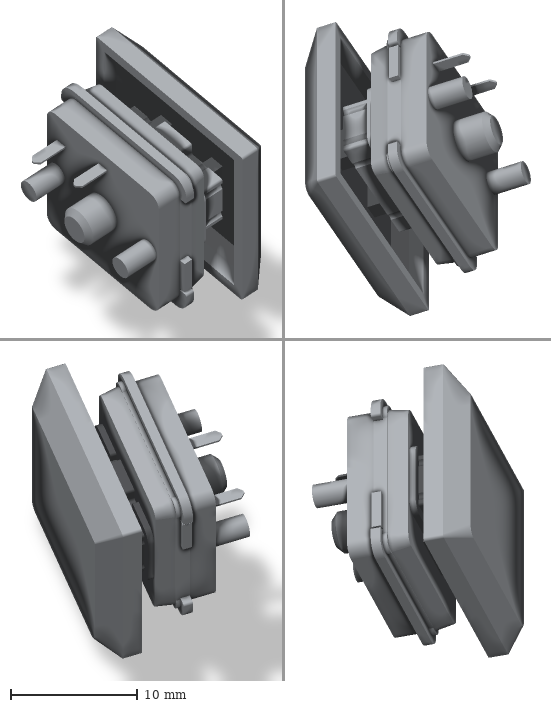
import cadquery as cq
import math


base_width = 13.43
base_corner_radius = 1.05
flange_front_y = 2.22
flange_back_y = 3.01
seam_y = 3.4
band_width = base_width + 0.07
flange_width = 15.01
flange_high_corner_radius = 1.5
flange_low_corner_radius = 1.3
flange_leg_end_z = 5.33
leg_end_radius = 0.2
nub_reach_x = 7.29
nub_low_z = 1.85
nub_high_z = 5.12

peg_length = 3.0
centre_peg_diameter = 3.4
centre_peg_chamfer = 0.5
side_peg_diameter = 1.9
side_peg_x = 5.5
pin_width = 1.0
pin_thickness = 0.2
pin_tip_chamfer = 0.39
pin_places = [(0.0, 5.1), (-5.0, 3.78)]

cover_top_y = 5.0
cover_draft_angle = 10.0
cover_leg_radius = 0.9
cover_leg_place = flange_width / 2 - flange_high_corner_radius
rim_top_y = 5.5
rim_width = 12.21
rim_height = 6.4
rim_corner_radius = 1.0
rim_gap_width = 4.93
rim_gap_radius = 0.21
rim_tail_low_z = -4.01

stem_width = 10.67
stem_height = 4.79
stem_top_y = 7.94
stem_edge_radius = 0.2
bulge_width = 3.35
bulge_top_z = 3.57
groove_width = 0.65
groove_depth = 0.15
top_groove_x = 3.3
side_groove_z = 1.6

keycap_width = 17.6
keycap_height = 16.6
keycap_bottom_y = 7.0
keycap_slope_y = 8.62
keycap_top_y = 10.4
keycap_corner_radius = 0.23
keycap_top_low_radius = 0.81
keycap_top_high_radius = 0.12
keycap_side_inset = 1.62
keycap_high_inset = 2.24
keycap_low_inset = 1.05
keycap_wall = 1.0
cavity_slope_y = 8.27
cavity_floor_y = 9.4
prong_x = 3.03
prong_width = 1.34
prong_height = 3.06


def plane_at(y):
    """Workplane across the key's axis, with X to the right and Z up."""
    return cq.Workplane("XZ", origin=(0, y, 0))


def slab(width, height, y_start, y_end):
    """Rectangular block between two places on the key's axis."""
    return plane_at(y_start).rect(width, height).extrude(y_start - y_end)


def block(x_range, y_range, z_range):
    """Box between opposite corners."""
    size = [high - low for low, high in (x_range, y_range, z_range)]
    start = (x_range[0], y_range[0], z_range[0])
    return cq.Workplane("XY").box(*size, centered=False).translate(start)


def cylinders(places, radius, y_start, y_end):
    """Cylinders along the key's axis, one at each (x, z) place."""
    return plane_at(y_start).pushPoints(places).circle(radius).extrude(y_start - y_end)


def cover_legs():
    """Four round legs in the corners, reaching through the flange."""
    place = cover_leg_place
    corners = [(-place, -place), (place, -place), (place, place), (-place, place)]
    return cylinders(corners, cover_leg_radius, flange_front_y, seam_y)


def flange():
    """Plate stop: a rounded frame along the top and bottom that turns the corners."""
    plate = slab(flange_width, flange_width, flange_front_y, flange_back_y)
    plate = plate.edges("|Y and >Z").fillet(flange_high_corner_radius)
    plate = plate.edges("|Y and <Z").fillet(flange_low_corner_radius)
    side_gap = slab(flange_width, 2 * flange_leg_end_z, flange_front_y, flange_back_y)
    frame = plate.cut(side_gap)
    return frame.edges("|Y").edges("<X or >X").fillet(leg_end_radius)


def side_nubs():
    """One nub on each side, each the half turn of the other."""
    y_range = (flange_front_y, flange_back_y)
    left = block((-nub_reach_x, 0), y_range, (nub_low_z, nub_high_z))
    return left.union(left.rotate((0, 0, 0), (0, 1, 0), 180))


def pegs():
    """Chamfered centre peg and a plain peg on either side of it."""
    centre = cylinders([(0, 0)], centre_peg_diameter / 2, -peg_length, 0)
    centre = centre.faces("<Y").chamfer(centre_peg_chamfer)
    side_places = [(-side_peg_x, 0), (side_peg_x, 0)]
    return centre.union(cylinders(side_places, side_peg_diameter / 2, -peg_length, 0))


def contact_pin(x, z):
    """Flat contact pin with a pointed tip."""
    pin = slab(pin_width, pin_thickness, -peg_length, 0)
    pin = pin.faces("<Y").edges("|Z").chamfer(pin_tip_chamfer)
    return pin.translate((x, 0, z))


def make_base():
    lower = slab(base_width, base_width, 0, flange_front_y)
    lower = lower.edges("|Y").fillet(base_corner_radius)
    band = slab(band_width, band_width, flange_front_y, seam_y)
    band = band.edges("|Y").fillet(base_corner_radius)
    body = lower.union(band).union(flange()).union(side_nubs())
    body = body.cut(cover_legs()).union(pegs())
    for x, z in pin_places:
        body = body.union(contact_pin(x, z))
    return body


def stem_profile(y_start, y_end):
    """Stem without grooves: a block with a bulge on its upper side."""
    body = slab(stem_width, stem_height, y_start, y_end)
    half = bulge_width / 2
    bulge = block((-half, half), (y_start, y_end), (0, bulge_top_z))
    return body.union(bulge).edges("|Y").fillet(stem_edge_radius)


def groove_cutters(y_start, y_end):
    """Round grooves along the stem, two on each of its four sides."""
    radius = (groove_width**2 / 4 + groove_depth**2) / (2 * groove_depth)
    axis_offset = radius - groove_depth
    x_axis = stem_width / 2 + axis_offset
    z_axis = stem_height / 2 + axis_offset
    places = []
    for u in (-1, 1):
        for v in (-1, 1):
            places += [(u * top_groove_x, v * z_axis), (u * x_axis, v * side_groove_z)]
    return cylinders(places, radius, y_start, y_end)


def make_stem():
    body = stem_profile(cover_top_y, stem_top_y)
    return body.cut(groove_cutters(rim_top_y, stem_top_y))


def rim():
    """Raised collar round the stem, open at the top and with a tail at the bottom."""
    collar = slab(rim_width, rim_height, cover_top_y, rim_top_y)
    collar = collar.edges("|Y").fillet(rim_corner_radius)
    y_range = (cover_top_y, rim_top_y)
    half_gap = rim_gap_width / 2
    tail = block((-half_gap, half_gap), y_range, (rim_tail_low_z, 0))
    gap = block((-half_gap, half_gap), y_range, (0, rim_height / 2))
    collar = collar.union(tail).cut(gap)
    gap_edges = collar.edges("|Y").edges(">Z")
    return gap_edges.fillet(rim_gap_radius).cut(stem_profile(*y_range))


def make_cover():
    outline = plane_at(seam_y).sketch().rect(base_width, base_width)
    outline = outline.vertices().fillet(base_corner_radius).finalize()
    body = outline.extrude(seam_y - cover_top_y, taper=cover_draft_angle)
    return body.union(rim()).union(cover_legs())


def keycap_outline(y, half_width, low_z, high_z, low_radius, high_radius):
    """Rectangle with one radius at its lower and one at its upper corners."""
    bend_share = 1 - math.sqrt(0.5)
    low_bend = low_radius * bend_share
    high_bend = high_radius * bend_share
    return (
        plane_at(y)
        .moveTo(-half_width + low_radius, low_z)
        .lineTo(half_width - low_radius, low_z)
        .threePointArc((half_width - low_bend, low_z + low_bend), (half_width, low_z + low_radius))
        .lineTo(half_width, high_z - high_radius)
        .threePointArc((half_width - high_bend, high_z - high_bend), (half_width - high_radius, high_z))
        .lineTo(-half_width + high_radius, high_z)
        .threePointArc((-half_width + high_bend, high_z - high_bend), (-half_width, high_z - high_radius))
        .lineTo(-half_width, low_z + low_radius)
        .threePointArc((-half_width + low_bend, low_z + low_bend), (-half_width + low_radius, low_z))
        .close()
        .val()
    )


def keycap_shell():
    """Keycap without its cavity: a rounded block with a sloped top part."""
    half_width = keycap_width / 2
    half_height = keycap_height / 2
    skirt = slab(keycap_width, keycap_height, keycap_bottom_y, keycap_slope_y)
    skirt = skirt.edges("|Y").fillet(keycap_corner_radius)
    slope_start = keycap_outline(
        keycap_slope_y, half_width, -half_height, half_height, keycap_corner_radius, keycap_corner_radius
    )
    slope_end = keycap_outline(
        keycap_top_y,
        half_width - keycap_side_inset,
        -half_height + keycap_low_inset,
        half_height - keycap_high_inset,
        keycap_top_low_radius,
        keycap_top_high_radius,
    )
    top = cq.Solid.makeLoft([slope_start, slope_end], True)
    return skirt.union(cq.Workplane(top))


def keycap_cavity():
    """Straight-walled opening whose inner end slopes in parallel to the outside."""
    width = keycap_width - 2 * keycap_wall
    height = keycap_height - 2 * keycap_wall
    slope_share = (cavity_floor_y - cavity_slope_y) / (keycap_top_y - keycap_slope_y)
    floor_width = width - 2 * slope_share * keycap_side_inset
    floor_height = height - slope_share * (keycap_low_inset + keycap_high_inset)
    floor_z = slope_share * (keycap_low_inset - keycap_high_inset) / 2
    straight = slab(width, height, keycap_bottom_y, cavity_slope_y)
    sloped = (
        plane_at(cavity_slope_y)
        .rect(width, height)
        .workplane(offset=cavity_slope_y - cavity_floor_y)
        .center(0, floor_z)
        .rect(floor_width, floor_height)
        .loft(ruled=True)
    )
    return straight.union(sloped)


def make_keycap():
    body = keycap_shell().cut(keycap_cavity())
    prong = slab(prong_width, prong_height, stem_top_y, cavity_floor_y)
    for x in (-prong_x, prong_x):
        body = body.union(prong.translate((x, 0, 0)))
    return body


base = make_base()
cover = make_cover()
stem = make_stem()
keycap = make_keycap()

bodies = [base, cover, stem, keycap]
result = cq.Compound.makeCompound([body.solids().val() for body in bodies])